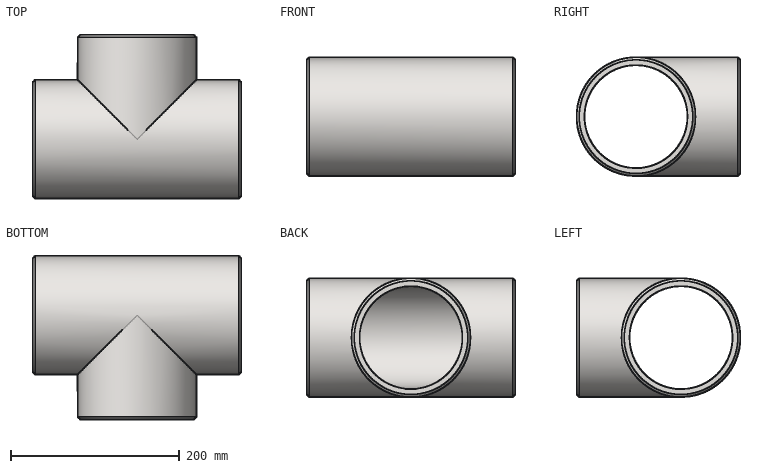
import cadquery as cq

run_length = 248.0
outer_diameter = 141.3
bore_diameter = 122.0
end_chamfer = 3.2

branch_length = run_length / 2

run_start = cq.Plane(origin=(-run_length / 2, 0, 0), xDir=(0, 1, 0), normal=(1, 0, 0))
branch_start = cq.Plane(origin=(0, 0, 0), xDir=(1, 0, 0), normal=(0, 1, 0))


def cylinder(start, diameter, length):
    """Solid cylinder that begins at the start plane and follows its normal."""
    return cq.Workplane(start).circle(diameter / 2).extrude(length)


run_body = cylinder(run_start, outer_diameter, run_length).faces("<X or >X").chamfer(end_chamfer)
branch_body = cylinder(branch_start, outer_diameter, branch_length).faces(">Y").chamfer(end_chamfer)

run_bore = cylinder(run_start, bore_diameter, run_length)
branch_bore = cylinder(branch_start, bore_diameter, branch_length)

result = run_body.union(branch_body).cut(run_bore).cut(branch_bore)